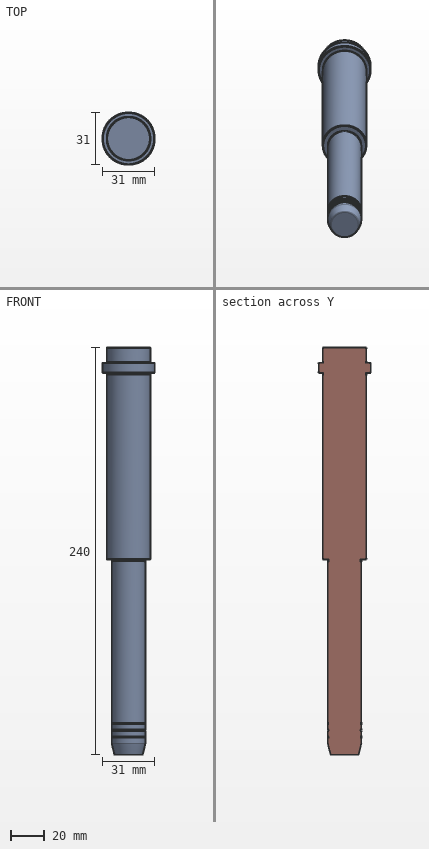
import cadquery as cq

total_length = 240.0

head_diameter = 26.0
head_length = 125.0
head_chamfer = 0.5

collar_diameter = 31.0
collar_height = 6.15
collar_chamfer = 0.5
collar_setback = 9.0

seat_diameter = 25.5
seat_gap_above = 0.5
seat_gap_below = 0.9

shaft_diameter = 20.0
neck_diameter = 19.0
neck_height = 1.0

nose_height = 7.0
nose_tip_diameter = 16.6
nose_tip_fillet = 0.5
nose_bulge = 0.10

groove_count = 3
groove_pitch = 4.0
groove_width = 1.0
groove_depth = 0.5
first_groove_height = 10.5

shaft_radius = shaft_diameter / 2
tip_radius = nose_tip_diameter / 2
shoulder_height = total_length - head_length
collar_bottom = total_length - collar_setback - collar_height


def cylinder(diameter, bottom, height):
    """Solid cylinder on the pin axis."""
    return cq.Workplane("XY").workplane(offset=bottom).circle(diameter / 2).extrude(height)


def ring(outer_diameter, inner_diameter, bottom, height):
    """Flat ring around the pin axis."""
    return cylinder(outer_diameter, bottom, height).cut(cylinder(inner_diameter, bottom, height))


def shaft():
    """Guide shaft with a bowed nose at its lower end."""
    middle_of_flank = ((shaft_radius + tip_radius) / 2 + nose_bulge, nose_height / 2)
    profile = (
        cq.Workplane("XZ")
        .moveTo(0, 0)
        .lineTo(tip_radius, 0)
        .threePointArc(middle_of_flank, (shaft_radius, nose_height))
        .lineTo(shaft_radius, shoulder_height)
        .lineTo(0, shoulder_height)
        .close()
    )
    body = profile.revolve(360, (0, 0, 0), (0, 1, 0))
    return body.faces("<Z").edges().fillet(nose_tip_fillet)


def collar():
    """Collar on the head, chamfered on both rims."""
    return cylinder(collar_diameter, collar_bottom, collar_height).edges().chamfer(collar_chamfer)


def neck_relief():
    """Material removed from the shaft just below the head."""
    return ring(shaft_diameter, neck_diameter, shoulder_height - neck_height, neck_height)


def groove(index):
    """Material removed for one V-shaped lubrication groove."""
    middle = first_groove_height + index * groove_pitch
    profile = (
        cq.Workplane("XZ")
        .moveTo(shaft_radius - groove_depth, middle)
        .lineTo(shaft_radius, middle - groove_width / 2)
        .lineTo(shaft_radius, middle + groove_width / 2)
        .close()
    )
    return profile.revolve(360, (0, 0, 0), (0, 1, 0))


def head():
    """Larger cylinder at the top, with broken end edges and a seat turned for the collar."""
    body = cylinder(head_diameter, shoulder_height, head_length)
    body = body.edges().chamfer(head_chamfer)
    seat_bottom = collar_bottom - seat_gap_below
    seat_height = seat_gap_below + collar_height + seat_gap_above
    return body.cut(ring(head_diameter, seat_diameter, seat_bottom, seat_height))


pin = shaft().union(head()).union(collar())
pin = pin.cut(neck_relief())
for index in range(groove_count):
    pin = pin.cut(groove(index))

result = pin